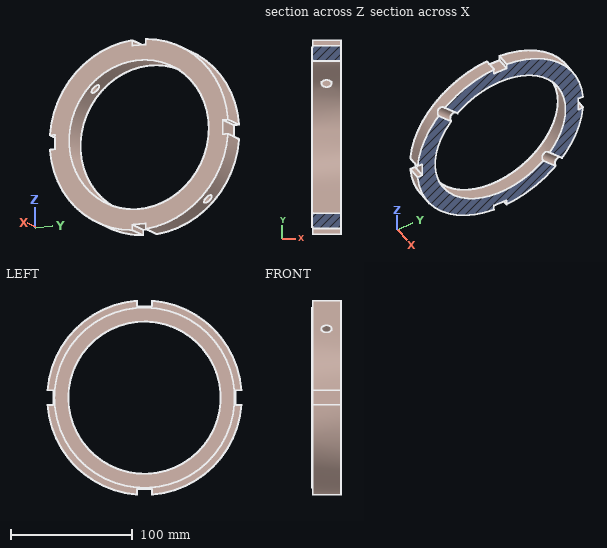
import cadquery as cq
import math

span = 159.5
width = 24.0
bore_diameter = 125.0
face_diameter = 148.0
face_height = 0.6
slot_width = 12.0
slot_floor_radius = 75.1
pin_hole_diameter = 8.3
pin_hole_angle = 45.0

outer_radius = math.hypot(span / 2, slot_width / 2)
back_x = -width / 2
rim_x = back_x + face_height


def disc(start_x, length, radius):
    """Solid cylinder along +X."""
    return cq.Workplane("YZ", origin=(start_x, 0, 0)).circle(radius).extrude(length)


def spanner_slot(angle):
    """Cutter for one slot through the full width, turned about X."""
    depth = span - slot_floor_radius
    center_z = slot_floor_radius + depth / 2
    slot = cq.Workplane("XY").box(2 * width, slot_width, depth).translate((0, 0, center_z))
    return slot.rotate((0, 0, 0), (1, 0, 0), angle)


def pin_hole():
    """Cutter along a diameter, piercing both sides of the ring at mid width."""
    hole = cq.Workplane("XZ").circle(pin_hole_diameter / 2).extrude(span, both=True)
    return hole.rotate((0, 0, 0), (1, 0, 0), -pin_hole_angle)


result = disc(rim_x, width - face_height, outer_radius)
result = result.union(disc(back_x, face_height, face_diameter / 2))
result = result.cut(disc(back_x, width, bore_diameter / 2))

for slot_angle in (0, 90, 180, 270):
    result = result.cut(spanner_slot(slot_angle))

result = result.cut(pin_hole())